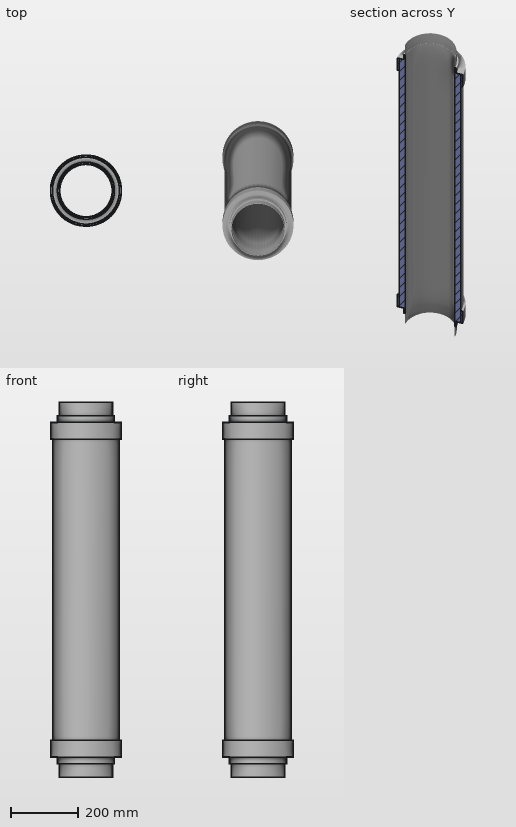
import cadquery as cq

LENGTH = 1120.0
RING_RADIUS = 106.0
SHELL_RADIUS = 100.0

COLLAR_RADIUS = 85.0
SPIGOT_RADIUS = 80.0
SPIGOT_WALL = 1.0
SPIGOT_LENGTH = 40.0
COLLAR_LENGTH = 20.0
RING_HEIGHT = 50.0

BORE_STEP = 0.6

SPIGOT_BORE_RADIUS = SPIGOT_RADIUS - SPIGOT_WALL
MAIN_BORE_RADIUS = SPIGOT_BORE_RADIUS - BORE_STEP
COLLAR_SPAN = LENGTH - 2 * SPIGOT_LENGTH
SHELL_SPAN = COLLAR_SPAN - 2 * COLLAR_LENGTH


def centred_cylinder(radius, height):
    """Cylinder on the Z axis, centred on the origin."""
    return cq.Workplane("XY").cylinder(height, radius)


def make_housing():
    """Long shell with a stepped collar and a thin spigot at each end."""
    outside = (
        centred_cylinder(SHELL_RADIUS, SHELL_SPAN)
        .union(centred_cylinder(COLLAR_RADIUS, COLLAR_SPAN))
        .union(centred_cylinder(SPIGOT_RADIUS, LENGTH))
    )
    main_bore = centred_cylinder(MAIN_BORE_RADIUS, LENGTH)
    spigot_bores = centred_cylinder(SPIGOT_BORE_RADIUS, LENGTH).cut(
        centred_cylinder(SPIGOT_BORE_RADIUS, COLLAR_SPAN)
    )
    return outside.cut(main_bore).cut(spigot_bores)


def make_end_ring(bottom):
    """Ring fitted around the shell, starting at the given height."""
    return (
        cq.Workplane("XY", origin=(0, 0, bottom))
        .circle(RING_RADIUS)
        .circle(SHELL_RADIUS)
        .extrude(RING_HEIGHT)
    )


housing = make_housing()

ring_bottoms = [-SHELL_SPAN / 2, SHELL_SPAN / 2 - RING_HEIGHT]
end_rings = [make_end_ring(bottom).val() for bottom in ring_bottoms]

result = cq.Compound.makeCompound([housing.val(), *end_rings])